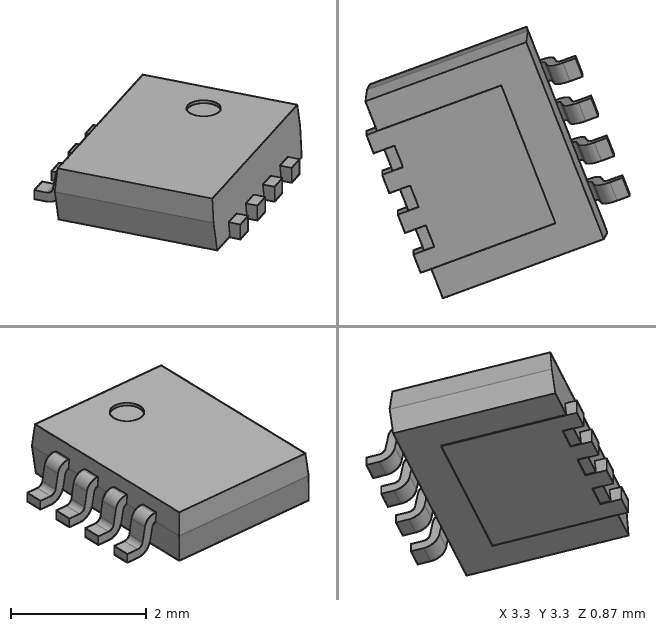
import cadquery as cq
import math

LENGTH_X = 3.3
LENGTH_Y = 3.3
HEIGHT = 0.87

BODY_LEFT = -1.1
BODY_RIGHT = 1.442
STANDOFF = 0.015
PARTING_Z = 0.492
DRAFT = math.tan(math.radians(5.0))

MARK_X = 0.178
MARK_Y = 0.977
MARK_DIAMETER = 0.508
MARK_DEPTH = 0.05

LEAD_COUNT = 4
LEAD_WIDTH = 0.3
LEAD_PITCH = 0.65
LEAD_THICKNESS = 0.152
LEAD_TOP_Z = PARTING_Z + LEAD_THICKNESS
LEAD_BEND_X = -1.365
LEAD_TILT = math.radians(10.0)
INNER_BEND = 0.1
OUTER_BEND = INNER_BEND + LEAD_THICKNESS
SHOULDER_BEND = 0.19
LEAD_EMBED = 0.165

PAD_LEFT = -0.48
PAD_THICKNESS = 0.25
PAD_WIDTH = (LEAD_COUNT - 1) * LEAD_PITCH + LEAD_WIDTH
PAD_RIGHT = 1.32

lead_places = [(i - (LEAD_COUNT - 1) / 2) * LEAD_PITCH for i in range(LEAD_COUNT)]


def body_section(plane_z):
    """Rectangular outline whose +X wall keeps one lean through both halves."""
    rise = plane_z - PARTING_Z
    inset = abs(rise) * DRAFT
    left = BODY_LEFT + inset
    right = BODY_RIGHT - rise * DRAFT
    width = LENGTH_Y - 2 * inset
    return (
        cq.Workplane("XY", origin=((left + right) / 2, 0, plane_z))
        .rect(right - left, width)
        .wires()
        .val()
    )


def body_half(lower_z, upper_z):
    wires = [body_section(lower_z), body_section(upper_z)]
    return cq.Workplane(obj=cq.Solid.makeLoft(wires, True))


def gull_wing_lead(place_y):
    """Bent strip from the foot up to the middle of the body wall."""
    slope = math.tan(LEAD_TILT)
    strip_span = LEAD_THICKNESS / math.cos(LEAD_TILT)
    foot_end = -LENGTH_X / 2
    inside_end = BODY_LEFT + LEAD_EMBED
    upper_left = LEAD_BEND_X + (LEAD_TOP_Z - LEAD_THICKNESS) * slope
    lower_right = LEAD_BEND_X + strip_span - LEAD_THICKNESS * slope
    upper_right = lower_right + PARTING_Z * slope
    outline = [
        (foot_end, 0),
        (lower_right, 0),
        (upper_right, PARTING_Z),
        (inside_end, PARTING_Z),
        (inside_end, LEAD_TOP_Z),
        (upper_left, LEAD_TOP_Z),
        (LEAD_BEND_X, LEAD_THICKNESS),
        (foot_end, LEAD_THICKNESS),
    ]
    strip = (
        cq.Workplane("XZ", origin=(0, place_y + LEAD_WIDTH / 2, 0))
        .polyline(outline)
        .close()
        .extrude(LEAD_WIDTH)
    )

    def bend(solid, corner, radius):
        point = (corner[0], place_y, corner[1])
        return solid.edges(cq.selectors.NearestToPointSelector(point)).fillet(radius)

    strip = bend(strip, (LEAD_BEND_X, LEAD_THICKNESS), INNER_BEND)
    strip = bend(strip, (upper_right, PARTING_Z), INNER_BEND)
    strip = bend(strip, (lower_right, 0), OUTER_BEND)
    return bend(strip, (upper_left, LEAD_TOP_Z), SHOULDER_BEND)


def block(left, right, centre_y, width):
    """Flat piece of the pad metal, resting on the seating plane."""
    return (
        cq.Workplane("XY")
        .center((left + right) / 2, centre_y)
        .rect(right - left, width)
        .extrude(PAD_THICKNESS)
    )


body = body_half(STANDOFF, PARTING_Z).union(body_half(PARTING_Z, HEIGHT))
mark = (
    cq.Workplane("XY", origin=(MARK_X, MARK_Y, HEIGHT))
    .circle(MARK_DIAMETER / 2)
    .extrude(-MARK_DEPTH)
)
result = body.cut(mark).union(block(PAD_LEFT, PAD_RIGHT, 0, PAD_WIDTH))
for lead_y in lead_places:
    result = result.union(gull_wing_lead(lead_y))
    result = result.union(block(PAD_LEFT, LENGTH_X / 2, lead_y, LEAD_WIDTH))